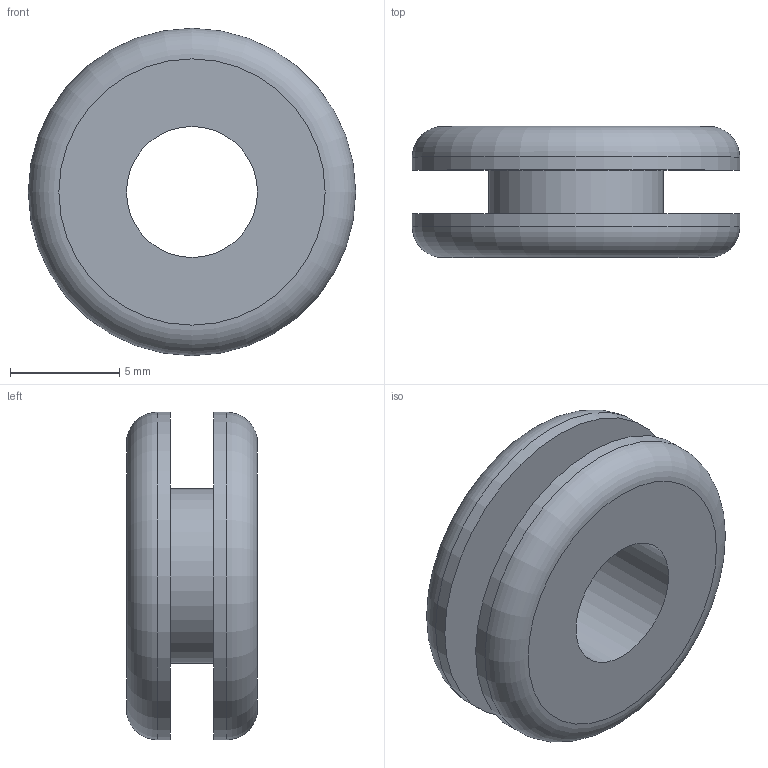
import cadquery as cq

flange_diameter = 15.0
hub_diameter = 8.0
bore_diameter = 6.0
total_width = 6.0
groove_width = 2.0
rim_radius = 1.4

flange_thickness = (total_width - groove_width) / 2


def disc(diameter, width):
    """Solid cylinder along Y, running from the origin toward +Y."""
    return cq.Workplane("XZ").circle(diameter / 2).extrude(-width)


def front_flange():
    """Flange on the -Y side, with its outward edge rounded."""
    flange = disc(flange_diameter, flange_thickness).faces("<Y").edges().fillet(rim_radius)
    return flange.translate((0, -total_width / 2, 0))


def hub():
    """Core that runs the full width and forms the floor of the groove."""
    return disc(hub_diameter, total_width).translate((0, -total_width / 2, 0))


def bore():
    """Through hole on the part's axis."""
    return disc(bore_diameter, total_width).translate((0, -total_width / 2, 0))


back_flange = front_flange().mirror("XZ")
result = hub().union(front_flange()).union(back_flange).cut(bore())